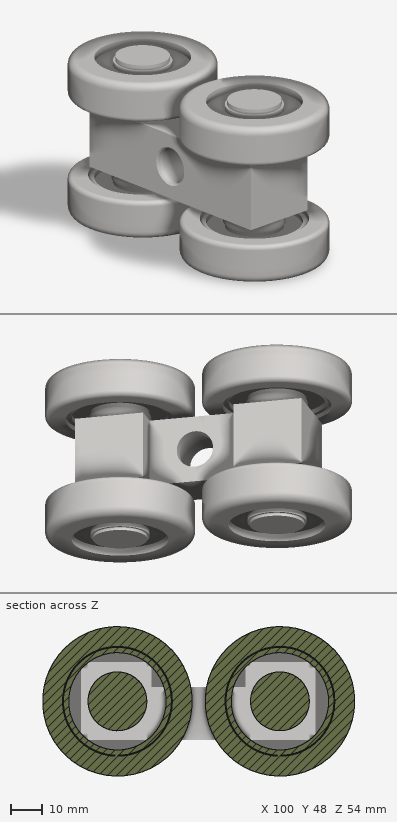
import cadquery as cq

block_length = 75.0
block_depth = 25.0
block_height = 22.0
cross_hole_diameter = 12.0
cross_hole_chamfer = 0.5

relief_width = 30.0
relief_depth = 8.0

axle_spacing = 52.0
wheel_diameter = 48.0
wheel_width = 13.0
wheel_gap = 2.7
outer_edge_radius = 2.5
inner_edge_radius = 1.5

bearing_inset = 1.0
bearing_diameter = 35.0
bearing_edge_radius = 1.0
shield_diameter = 31.0
shield_depth = 1.6
inner_race_diameter = 19.0

spacer_diameter = 20.0
axle_end_diameter = 17.5
upper_axle_protrusion = 0.6

block_face = block_height / 2
wheel_inner_face = block_face + wheel_gap
wheel_outer_face = wheel_inner_face + wheel_width
bearing_inner_face = wheel_inner_face + bearing_inset
bearing_outer_face = wheel_outer_face - bearing_inset
shield_inner_face = bearing_inner_face + shield_depth
shield_outer_face = bearing_outer_face - shield_depth


def disc(diameter, bottom, top):
    """Cylinder about the Z axis between two heights."""
    return cq.Workplane("XY").workplane(offset=bottom).circle(diameter / 2).extrude(top - bottom)


def make_block():
    block = cq.Workplane("XY").box(block_length, block_depth, block_height)
    relief = cq.Workplane("XY").box(relief_width, relief_depth, block_height)
    block = block.cut(relief.translate((0, (block_depth - relief_depth) / 2, 0)))
    block = block.faces("<Y").workplane(centerOption="CenterOfBoundBox").hole(cross_hole_diameter)
    return block.faces("<Y").edges("%CIRCLE").chamfer(cross_hole_chamfer)


def make_tyre():
    """Wheel body with a bearing bore that is open towards the block and lipped on the outer side."""
    tyre = disc(wheel_diameter, wheel_inner_face, wheel_outer_face)
    tyre = tyre.faces(">Z").edges().fillet(outer_edge_radius)
    tyre = tyre.faces("<Z").edges().fillet(inner_edge_radius)
    tyre = tyre.cut(disc(bearing_diameter, wheel_inner_face, bearing_outer_face))
    return tyre.cut(disc(shield_diameter, bearing_outer_face, wheel_outer_face))


def make_bearing():
    """Bearing with a rounded inner-side rim and a recessed shield around the inner race on both sides."""
    bearing = disc(bearing_diameter, bearing_inner_face, bearing_outer_face)
    bearing = bearing.faces("<Z").edges().fillet(bearing_edge_radius)
    bearing = bearing.cut(disc(shield_diameter, bearing_inner_face, shield_inner_face))
    bearing = bearing.cut(disc(shield_diameter, shield_outer_face, bearing_outer_face))
    return bearing.union(disc(inner_race_diameter, bearing_inner_face, bearing_outer_face))


def make_wheel_assembly(protrusion):
    """Spacer, wheel and axle end above the block; the axle stands past the wheel by the protrusion."""
    spacer = disc(spacer_diameter, block_face, bearing_inner_face)
    axle_end = disc(axle_end_diameter, bearing_outer_face, wheel_outer_face + protrusion)
    return make_tyre().union(make_bearing()).union(spacer).union(axle_end)


upper_assembly = make_wheel_assembly(upper_axle_protrusion)
lower_assembly = make_wheel_assembly(0).mirror("XY")

result = make_block()
for x in (-axle_spacing / 2, axle_spacing / 2):
    for assembly in (upper_assembly, lower_assembly):
        result = result.union(assembly.translate((x, 0, 0)))